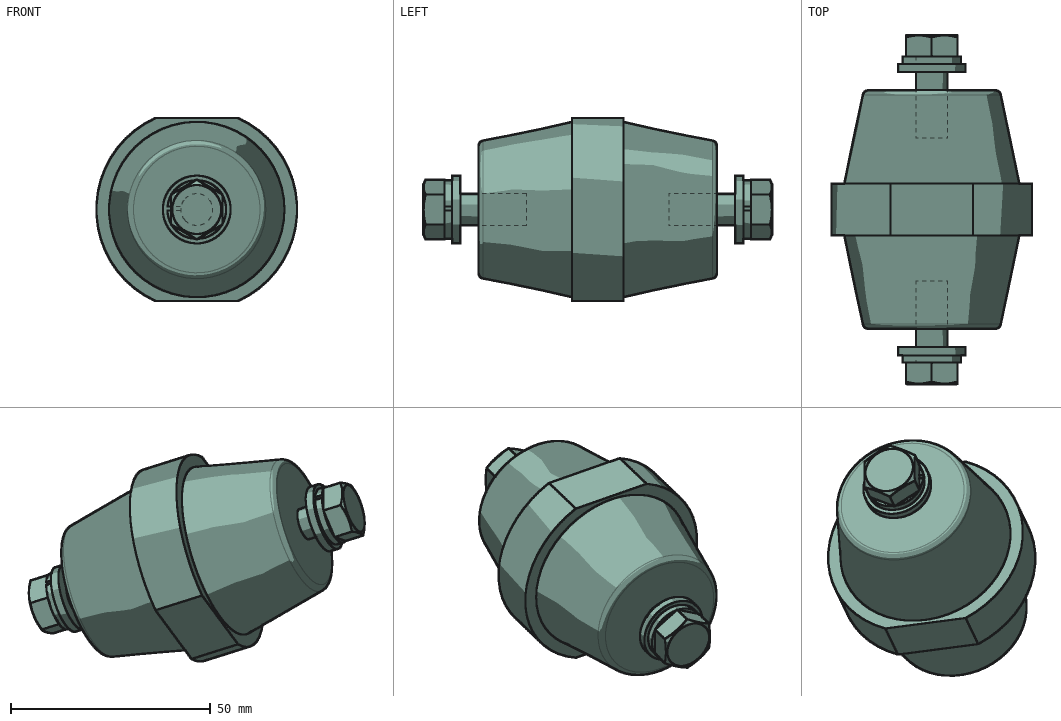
import cadquery as cq
import math

overall_length = 87.8
insulator_length = 60.0
flange_diameter = 50.5
flange_width = 13.0
flange_flats = 46.0
cone_root_diameter = 44.1
cone_end_diameter = 34.2
end_fillet = 1.5

shank_diameter = 8.0
shank_insertion = 12.0
washer_diameter = 17.0
washer_thickness = 2.1
lock_washer_diameter = 14.75
lock_washer_thickness = 1.8
lock_washer_gap = 1.0
lock_washer_gap_height = 0.3
head_height = 5.4
head_flats = 13.0
head_face_diameter = 12.3
head_chamfer_angle = 25.0

insulator_end = insulator_length / 2
screw_end = overall_length / 2
head_seat = screw_end - head_height
washer_seat = head_seat - lock_washer_thickness
washer_inner_face = washer_seat - washer_thickness
shank_tip = insulator_end - shank_insertion
SIDES = (1, -1)


def cylinder_y(diameter, start, end):
    """Cylinder on the Y axis between two Y positions."""
    return cq.Workplane("XZ", origin=(0, end, 0)).circle(diameter / 2).extrude(end - start)


def make_cones():
    half_flange = flange_width / 2
    profile = [
        (0, -insulator_end),
        (cone_end_diameter / 2, -insulator_end),
        (cone_root_diameter / 2, -half_flange),
        (cone_root_diameter / 2, half_flange),
        (cone_end_diameter / 2, insulator_end),
        (0, insulator_end),
    ]
    cones = cq.Workplane("XY").polyline(profile).close().revolve(360, (0, 0), (0, 1))
    return cones.faces("<Y or >Y").edges().fillet(end_fillet)


def make_flange():
    disc = cylinder_y(flange_diameter, -flange_width / 2, flange_width / 2)
    flats = cq.Workplane("XY").box(flange_diameter, flange_width, flange_flats)
    return disc.intersect(flats)


def make_insulator():
    insulator = make_cones().union(make_flange())
    for side in SIDES:
        start, end = sorted((side * shank_tip, side * insulator_end))
        insulator = insulator.cut(cylinder_y(shank_diameter, start, end))
    return insulator


def make_head():
    """Hexagonal head with two flats facing X and a conical chamfer on its end."""
    corner_diameter = head_flats / math.cos(math.radians(30))
    hexagon = (
        cq.Workplane("XZ", origin=(0, screw_end, 0))
        .transformed(rotate=(0, 0, 90))
        .polygon(6, corner_diameter)
        .extrude(head_height)
    )
    chamfer_run = (corner_diameter - head_face_diameter) / 2
    chamfer_drop = chamfer_run * math.tan(math.radians(head_chamfer_angle))
    profile = [
        (0, head_seat),
        (corner_diameter / 2, head_seat),
        (corner_diameter / 2, screw_end - chamfer_drop),
        (head_face_diameter / 2, screw_end),
        (0, screw_end),
    ]
    envelope = cq.Workplane("XY").polyline(profile).close().revolve(360, (0, 0), (0, 1))
    return hexagon.intersect(envelope)


def make_lock_washer():
    """Ring split by a gap on its -X side."""
    ring = cylinder_y(lock_washer_diameter, washer_seat, head_seat)
    gap = cq.Workplane("XY").box(
        lock_washer_diameter, lock_washer_thickness, lock_washer_gap, centered=(False, False, True)
    )
    return ring.cut(gap.translate((-lock_washer_diameter, washer_seat, lock_washer_gap_height)))


def make_screw(side):
    """Screw at the +Y end (side 1) or its mirror image at the -Y end (side -1)."""
    screw = (
        make_head()
        .union(make_lock_washer())
        .union(cylinder_y(washer_diameter, washer_inner_face, washer_seat))
        .union(cylinder_y(shank_diameter, shank_tip, head_seat))
    )
    return screw if side > 0 else screw.mirror("XZ")


insulator = make_insulator()
screws = [make_screw(side) for side in SIDES]

result = cq.Compound.makeCompound([insulator.val(), *[screw.val() for screw in screws]])